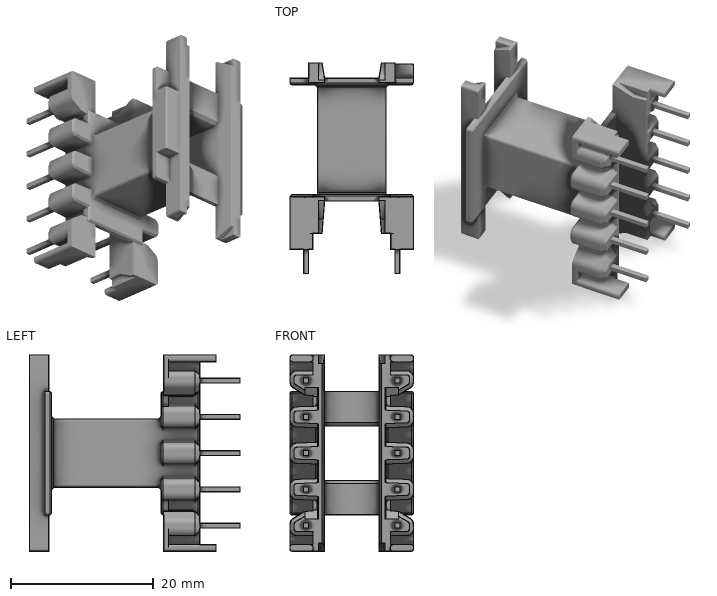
import math

import cadquery as cq


FLANGE_SIZE = 17.3
FLANGE_HALF = FLANGE_SIZE / 2
FLANGE_THICKNESS = 0.95
RAIL_HEIGHT = 27.5
RAIL_HALF_HEIGHT = RAIL_HEIGHT / 2
TOTAL_LENGTH = 29.5

WINDING_LENGTH = 15.33
TUBE_SIZE = 9.6
TUBE_HALF = TUBE_SIZE / 2
BORE_SIZE = 7.6
BORE_HALF = BORE_SIZE / 2
TUBE_EDGE_RADIUS = 0.37
COLLAR_SIZE = 0.3
FLANGE_CORNER_RADIUS = 0.35
FLANGE_RIM_CHAMFER = 0.25
MOUTH_CHAMFER = 0.48

BACK_FACE = WINDING_LENGTH / 2
FRONT_FACE = -BACK_FACE
RAIL_SETBACK = 0.36
BACK_RAIL_START = BACK_FACE + RAIL_SETBACK
BACK_RAIL_END = 10.765
FRONT_RAIL_START = FRONT_FACE - RAIL_SETBACK
FLOOR_THICKNESS = 0.72
FRONT_FLOOR_END = FRONT_RAIL_START - FLOOR_THICKNESS
WEB_END = -13.11
TAB_END = -15.37
PIN_END = BACK_RAIL_END - TOTAL_LENGTH

SLOT_WIDENING = 0.35
BACK_RAIL_OUTER_X = 6.05
BACK_RAIL_CORNER_RADIUS = 0.3
WEB_OUTER_X = 5.45
TAB_THICKNESS = 0.95
TAB_EDGE_RADIUS = 0.35

NOTCH_OUTER_X = 4.65
NOTCH_DEPTH = 1.2
FRONT_NOTCH_START = -8.5
FRONT_NOTCH_FLAT = -11.1
BACK_NOTCH_START = 8.35

BLOCK_SETBACK = 0.13
BLOCK_END = BACK_RAIL_END - BLOCK_SETBACK
BLOCK_HALF_HEIGHT = TUBE_HALF
BLOCK_EDGE_RADIUS = 0.25

PIN_PITCH = 5.08
PIN_X = 6.4
PIN_WIDTH = 0.7
BOSS_ROOT_X = BORE_HALF
BOSS_ROOT_HALF = 1.5
BOSS_TIP_HALF = 1.38
BOSS_ROUND_RADIUS = 0.95
BOSS_ROOT_RADIUS = 0.3
BOSS_CHAMFER_DEPTH = 0.7
BOSS_CHAMFER_WIDTH = 0.58
BOSS_BACK_CHAMFER = 0.28
BOSS_TAPER = math.degrees(math.atan(BOSS_CHAMFER_WIDTH / BOSS_CHAMFER_DEPTH))
END_BOSS_ROOT_DROP = 2.2
END_BOSS_SLANT_X = 6.6
END_BOSS_SLANT_DROP = 2.0
END_BOSS_TIP_DROP = 0.75

FACET_DEPTH = 1.0
FACET_HEIGHT = 1.27
FACET_INNER_X = TUBE_HALF
FACET_OUTER_X = 6.55

WEB_CHAMFER_DEPTH = 0.25
WEB_CHAMFER_WIDTH = 0.15
THIN_WEB_HALF_HEIGHT = 2 * PIN_PITCH - END_BOSS_ROOT_DROP
WEB_BEVEL_HALF_HEIGHT = THIN_WEB_HALF_HEIGHT + FACET_HEIGHT


def box(x0, x1, y0, y1, z0, z1):
    size = (x1 - x0, y1 - y0, z1 - z0)
    return cq.Workplane("XY").box(*size, centered=False).translate((x0, y0, z0))


def mirrored(solid, plane):
    return solid.union(solid.mirror(plane))


def tube():
    body = cq.Workplane("XZ", origin=(0, BACK_FACE, 0)).rect(TUBE_SIZE, TUBE_SIZE).extrude(WINDING_LENGTH)
    return body.edges("|Y").fillet(TUBE_EDGE_RADIUS)


def back_flange():
    plate = box(-FLANGE_HALF, FLANGE_HALF, BACK_FACE, BACK_FACE + FLANGE_THICKNESS, -FLANGE_HALF, FLANGE_HALF)
    plate = plate.edges("|Y").fillet(FLANGE_CORNER_RADIUS)
    return plate.faces("<Y").edges().chamfer(FLANGE_RIM_CHAMFER)


def back_rail():
    rail = box(
        BORE_HALF, BACK_RAIL_OUTER_X, BACK_RAIL_START, BACK_RAIL_END,
        -RAIL_HALF_HEIGHT, RAIL_HALF_HEIGHT,
    )
    rail = rail.edges(">X and |Y").fillet(BACK_RAIL_CORNER_RADIUS)
    notch = (
        cq.Workplane("YZ")
        .moveTo(BACK_NOTCH_START, RAIL_HALF_HEIGHT)
        .lineTo(BACK_RAIL_END, RAIL_HALF_HEIGHT - NOTCH_DEPTH)
        .lineTo(BACK_RAIL_END, RAIL_HALF_HEIGHT)
        .close()
        .extrude(NOTCH_OUTER_X)
    )
    return rail.cut(mirrored(notch, "XY"))


def back_block():
    block = box(
        BACK_RAIL_OUTER_X, FLANGE_HALF, BACK_FACE + FLANGE_THICKNESS, BLOCK_END,
        -BLOCK_HALF_HEIGHT, BLOCK_HALF_HEIGHT,
    )
    return block.edges(">X and >Y").fillet(BLOCK_EDGE_RADIUS)


def front_flange_core():
    """The middle of the pin flange, out to the thick part of the webs."""
    core = box(-WEB_OUTER_X, WEB_OUTER_X, FRONT_FACE - FLANGE_THICKNESS, FRONT_FACE, -FLANGE_HALF, FLANGE_HALF)
    core = core.faces(">Y").edges().chamfer(FLANGE_RIM_CHAMFER)
    return core.cut(mirrored(gap_beside_tube(), "YZ"))


def gap_beside_tube():
    """Space between the bosses next to the tube, where flange and web are flush with it."""
    return box(TUBE_HALF, FLANGE_HALF, TAB_END, FRONT_FACE, -PIN_PITCH, PIN_PITCH)


def front_web():
    web = box(BORE_HALF, WEB_OUTER_X, WEB_END, FRONT_RAIL_START, -RAIL_HALF_HEIGHT, RAIL_HALF_HEIGHT)
    thin = THIN_WEB_HALF_HEIGHT
    web = web.cut(box(TUBE_HALF, WEB_OUTER_X, WEB_END, FRONT_FLOOR_END, -thin, thin))
    web = web.cut(gap_beside_tube())
    notch = (
        cq.Workplane("YZ")
        .moveTo(FRONT_NOTCH_START, RAIL_HALF_HEIGHT)
        .lineTo(FRONT_NOTCH_FLAT, RAIL_HALF_HEIGHT - NOTCH_DEPTH)
        .lineTo(WEB_END, RAIL_HALF_HEIGHT - NOTCH_DEPTH)
        .lineTo(WEB_END, RAIL_HALF_HEIGHT)
        .close()
        .extrude(NOTCH_OUTER_X)
    )
    return web.cut(mirrored(notch, "XY"))


def web_bevel():
    """Wedge that bevels the front edge of the web beside the bosses."""
    return (
        cq.Workplane("XY", origin=(0, 0, -WEB_BEVEL_HALF_HEIGHT))
        .moveTo(TUBE_HALF, WEB_END)
        .lineTo(TUBE_HALF - WEB_CHAMFER_WIDTH, WEB_END)
        .lineTo(TUBE_HALF, WEB_END + WEB_CHAMFER_DEPTH)
        .close()
        .extrude(2 * WEB_BEVEL_HALF_HEIGHT)
    )


def end_tab():
    """Foot at the upper end of a pin rail with the floor joining it to the end boss."""
    tab = box(
        WEB_OUTER_X, FLANGE_HALF, TAB_END, FRONT_RAIL_START,
        RAIL_HALF_HEIGHT - TAB_THICKNESS, RAIL_HALF_HEIGHT,
    )
    tab = tab.edges("|Y").fillet(TAB_EDGE_RADIUS)
    web_joint = box(
        NOTCH_OUTER_X, WEB_OUTER_X + TAB_EDGE_RADIUS, WEB_END, FRONT_RAIL_START,
        RAIL_HALF_HEIGHT - TAB_THICKNESS, RAIL_HALF_HEIGHT,
    )
    floor = box(
        WEB_OUTER_X, FLANGE_HALF, FRONT_FLOOR_END, FRONT_RAIL_START,
        2 * PIN_PITCH, RAIL_HALF_HEIGHT - TAB_EDGE_RADIUS,
    )
    return tab.union(web_joint).union(floor)


def boss_body(outline, y_start):
    """Pin boss with a rounded tip, up to the start of its front bevel."""
    length = y_start - (WEB_END + BOSS_CHAMFER_DEPTH)
    body = outline.extrude(length).translate((0, y_start, 0))
    return body.edges("|Y and >X").fillet(BOSS_ROUND_RADIUS)


def with_front_bevel(body):
    bevel = body.faces("<Y").wires().toPending().workplane().extrude(BOSS_CHAMFER_DEPTH, taper=BOSS_TAPER)
    return body.union(bevel)


def middle_boss():
    """Boss whose sides curve out into the web."""
    side_x = TUBE_HALF + BOSS_ROOT_RADIUS
    flare_half = BOSS_ROOT_HALF + BOSS_ROOT_RADIUS
    outline = (
        cq.Workplane("XZ")
        .moveTo(BOSS_ROOT_X, -flare_half)
        .lineTo(TUBE_HALF, -flare_half)
        .radiusArc((side_x, -BOSS_ROOT_HALF), BOSS_ROOT_RADIUS)
        .lineTo(FLANGE_HALF, -BOSS_TIP_HALF)
        .lineTo(FLANGE_HALF, BOSS_TIP_HALF)
        .lineTo(side_x, BOSS_ROOT_HALF)
        .radiusArc((TUBE_HALF, flare_half), BOSS_ROOT_RADIUS)
        .lineTo(BOSS_ROOT_X, flare_half)
        .close()
    )
    body = with_front_bevel(boss_body(outline, FRONT_FACE))
    return body.faces(">Y").edges().chamfer(BOSS_BACK_CHAMFER)


def end_boss():
    outline = (
        cq.Workplane("XZ")
        .moveTo(BOSS_ROOT_X, BOSS_TIP_HALF)
        .lineTo(BOSS_ROOT_X, -END_BOSS_ROOT_DROP)
        .lineTo(END_BOSS_SLANT_X, -END_BOSS_SLANT_DROP)
        .lineTo(FLANGE_HALF, -END_BOSS_TIP_DROP)
        .lineTo(FLANGE_HALF, BOSS_TIP_HALF)
        .close()
    )
    return with_front_bevel(boss_body(outline, FRONT_RAIL_START))


def end_boss_facet():
    """Wedge cut from the root of an end boss and the web beside it."""
    return (
        cq.Workplane("YZ", origin=(FACET_INNER_X, 0, 0))
        .moveTo(WEB_END + FACET_DEPTH, -END_BOSS_ROOT_DROP)
        .lineTo(WEB_END, FACET_HEIGHT - END_BOSS_ROOT_DROP)
        .lineTo(WEB_END, -END_BOSS_ROOT_DROP)
        .close()
        .extrude(FACET_OUTER_X - FACET_INNER_X)
    )


def pin():
    half = PIN_WIDTH / 2
    return box(PIN_X - half, PIN_X + half, PIN_END, WEB_END + FACET_DEPTH, -half, half)


def pin_rail():
    """Pin rail on the +X side."""
    rail = front_web().union(mirrored(end_tab(), "XY"))
    upper_boss = end_boss().translate((0, 0, 2 * PIN_PITCH))
    rail = rail.union(mirrored(upper_boss, "XY"))
    upper_facet = end_boss_facet().translate((0, 0, 2 * PIN_PITCH))
    rail = rail.cut(mirrored(upper_facet, "XY"))
    rail = rail.cut(web_bevel())
    for row in (-1, 0, 1):
        rail = rail.union(middle_boss().translate((0, 0, row * PIN_PITCH)))
    for row in (-2, -1, 0, 1, 2):
        rail = rail.union(pin().translate((0, 0, row * PIN_PITCH)))
    return rail


def core_slot(y_tube, y_end):
    """Slot between two rails that widens away from the tube."""
    wide = BORE_HALF + SLOT_WIDENING
    return (
        cq.Workplane("XY", origin=(0, 0, -RAIL_HALF_HEIGHT))
        .polyline([(-BORE_HALF, y_tube), (BORE_HALF, y_tube), (wide, y_end), (-wide, y_end)])
        .close()
        .extrude(2 * RAIL_HALF_HEIGHT)
    )


def bore():
    """Square core bore, its upper and lower edges bevelled at both mouths."""
    mouth = BACK_FACE + FLANGE_THICKNESS
    wide = BORE_HALF + MOUTH_CHAMFER
    bevel_end = mouth - MOUTH_CHAMFER
    upper = [(-mouth, wide), (-bevel_end, BORE_HALF), (bevel_end, BORE_HALF), (mouth, wide)]
    lower = [(y, -z) for y, z in reversed(upper)]
    profile = cq.Workplane("YZ", origin=(-BORE_HALF, 0, 0)).polyline(upper + lower).close()
    return profile.extrude(BORE_SIZE)


def collar(face_y, direction):
    """Sloped collar where the tube meets a flange."""
    plane = cq.Plane(origin=(0, face_y, 0), xDir=(1, 0, 0), normal=(0, direction, 0))
    size = TUBE_SIZE + 2 * COLLAR_SIZE
    return cq.Workplane(plane).rect(size, size).extrude(COLLAR_SIZE, taper=45)


def front_collar():
    """Collar at the pin flange, only above and below the tube."""
    tube_width = box(-TUBE_HALF, TUBE_HALF, FRONT_FACE, BACK_FACE, -FLANGE_HALF, FLANGE_HALF)
    return collar(FRONT_FACE, 1).intersect(tube_width)


body = tube().union(back_flange()).union(front_flange_core())
body = body.union(collar(BACK_FACE, -1)).union(front_collar())
body = body.union(mirrored(back_rail(), "YZ")).union(back_block())
body = body.union(mirrored(pin_rail(), "YZ"))
body = body.cut(core_slot(FRONT_FACE - FLANGE_THICKNESS, WEB_END))
body = body.cut(core_slot(BACK_FACE + FLANGE_THICKNESS, BACK_RAIL_END))
result = body.cut(bore())